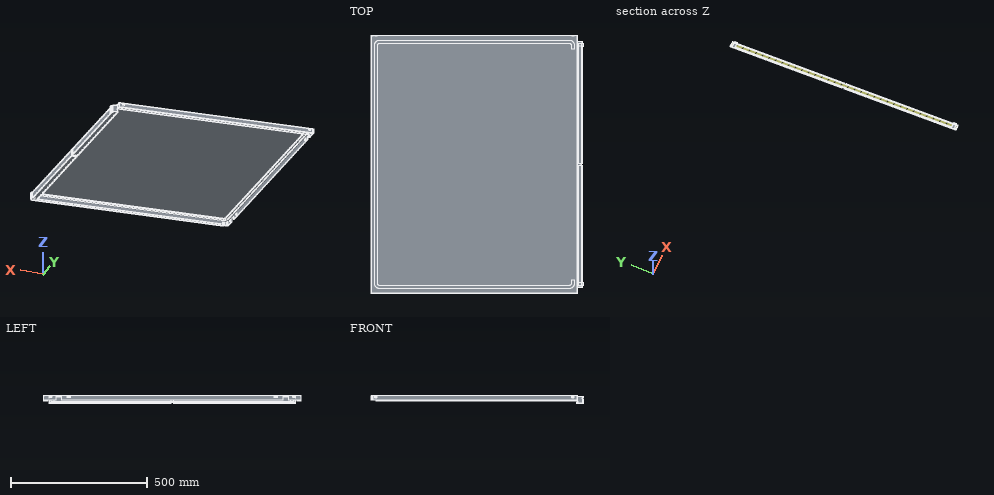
import cadquery as cq

panel_width = 757.0
panel_length = 946.0
panel_depth = 17.0
sheet = 1.4
bend_radius = 2.4

flange_bottom_z = -20.0
flange_reach = 16.0
flange_setback = 0.5
flange_start_x = 18.0

corner_slit_x = 5.0
corner_slit_width = 2.0
notch_length = 19.0
notch_end_offset = 57.0
notch_top_z = -6.0
wall_slot_length = 11.0
wall_slot_end_offset = 94.0
vent_length = 8.0
vent_end_offset = 26.5
side_vent_offset = 17.0
opening_height = 5.0
opening_z = -6.0

gasket_side_inset = 11.0
gasket_end_inset = 18.0
gasket_width = 11.0
gasket_thickness = 4.0
gasket_radius = 19.0
gasket_free_end_inset = 49.0

rail_end_inset = 22.0
rail_gap = 8.0
rail_inner_x = 753.0
rail_outer_x = 774.0
rail_top_z = -4.0
rail_base_thickness = 3.4
rail_wall = 3.0
rail_end_thickness = 8.0
ledge_end_inset = 40.0
ledge_top_z = -23.0
ledge_thickness = 3.0
tab_reach = 4.0
tab_length = 11.0
upper_tab_bottom_z = -8.5
lower_tab_top_z = -12.0

half_length = panel_length / 2
rail_end_y = half_length - rail_end_inset
cap_inner_y = rail_end_y - rail_end_thickness
ledge_end_y = half_length - ledge_end_inset
ledge_outer_x = rail_outer_x - rail_wall
ledge_bottom_z = ledge_top_z - ledge_thickness
rail_bottom_z = ledge_bottom_z - rail_base_thickness


def block(x_range, y_range, z_range):
    """Axis-aligned box between the given limits."""
    (x0, x1), (y0, y1), (z0, z1) = x_range, y_range, z_range
    return cq.Workplane("XY").box(x1 - x0, y1 - y0, z1 - z0, centered=False).translate((x0, y0, z0))


def inset_plate(side_inset, end_inset, z_range):
    """Panel-shaped plate, drawn in from the panel's sides (X) and ends (Y)."""
    x_range = (side_inset, panel_width - side_inset)
    y_range = (end_inset - half_length, half_length - end_inset)
    return block(x_range, y_range, z_range)


def centred_range(centre, length):
    """Limits of a stretch of the given length about its centre."""
    return (centre - length / 2, centre + length / 2)


def make_tray():
    """Face sheet with four walls; the bend is rounded except along the hinge side."""
    outer = inset_plate(0, 0, (-panel_depth, 0))
    outer = outer.faces(">Z").edges("not >X").fillet(bend_radius)
    inner = inset_plate(sheet, sheet, (-panel_depth, -sheet))
    inner = inner.faces(">Z").edges("not >X").fillet(bend_radius - sheet)
    return outer.cut(inner)


def cut_wall_openings(tray):
    """Notches, slots and holes in the -X wall; slits and holes in the end walls."""
    slot_z = centred_range(opening_z, opening_height)
    wall_x = (-sheet, 2 * sheet)
    for side in (-1, 1):
        notch_y = centred_range(side * (half_length - notch_end_offset), notch_length)
        slot_y = centred_range(side * (half_length - wall_slot_end_offset), wall_slot_length)
        vent_y = centred_range(side * (half_length - vent_end_offset), vent_length)
        tray = tray.cut(block(wall_x, notch_y, (-panel_depth, notch_top_z)))
        tray = tray.cut(block(wall_x, slot_y, slot_z))
        tray = tray.cut(block(wall_x, vent_y, slot_z))

        end_y = centred_range(side * half_length, 4 * sheet)
        slit_x = centred_range(corner_slit_x, corner_slit_width)
        tray = tray.cut(block(slit_x, end_y, (-panel_depth, -bend_radius)))
        for vent_x in (side_vent_offset, panel_width - side_vent_offset):
            tray = tray.cut(block(centred_range(vent_x, vent_length), end_y, slot_z))
    return tray


def make_end_flange(side):
    """Return flange under one end wall, with a foot that joins it to the wall."""
    x_range = (flange_start_x, panel_width)
    flange_outer_y = half_length - flange_setback
    wall_y = (half_length - sheet, flange_outer_y)
    foot = block(x_range, wall_y, (flange_bottom_z, -panel_depth))
    leaf_y = (half_length - flange_reach, flange_outer_y)
    leaf = block(x_range, leaf_y, (flange_bottom_z, flange_bottom_z + sheet))
    flange = foot.union(leaf)
    return flange if side > 0 else flange.mirror("XZ")


def make_hinge_ledge():
    """Ledge that turns outward from the foot of the +X wall."""
    y_range = (-ledge_end_y, ledge_end_y)
    wall_foot = block((panel_width - sheet, panel_width), y_range, (ledge_bottom_z, -panel_depth))
    ledge = block((panel_width - sheet, ledge_outer_x), y_range, (ledge_bottom_z, ledge_top_z))
    return wall_foot.union(ledge)


def make_panel():
    panel = cut_wall_openings(make_tray())
    for side in (-1, 1):
        panel = panel.union(make_end_flange(side))
    return panel.union(make_hinge_ledge())


def make_gasket():
    z_range = (-sheet - gasket_thickness, -sheet)
    inner_side_inset = gasket_side_inset + gasket_width
    inner_end_inset = gasket_end_inset + gasket_width
    outer = inset_plate(gasket_side_inset, gasket_end_inset, z_range).edges("|Z").fillet(gasket_radius)
    inner = inset_plate(inner_side_inset, inner_end_inset, z_range)
    inner = inner.edges("|Z").fillet(gasket_radius - gasket_width)
    free_end_y = half_length - gasket_free_end_inset
    hinge_side = block((panel_width - inner_side_inset, panel_width), (-free_end_y, free_end_y), z_range)
    return outer.cut(inner).cut(hinge_side)


def make_rail(side):
    """One hinge rail; side is +1 or -1 for the half of the panel it serves."""
    y_range = (rail_gap / 2, rail_end_y)
    base = block((rail_inner_x, rail_outer_x), y_range, (rail_bottom_z, ledge_bottom_z))
    outer_wall = block((ledge_outer_x, rail_outer_x), y_range, (rail_bottom_z, rail_top_z))
    lip = block((panel_width, panel_width + rail_wall), y_range, (ledge_top_z, rail_top_z))
    end_cap = block((panel_width, rail_outer_x), (cap_inner_y, rail_end_y), (rail_bottom_z, rail_top_z))
    rail = base.union(outer_wall).union(end_cap).union(lip)

    tab_x = (ledge_outer_x, rail_outer_x + tab_reach)
    tab_y = (cap_inner_y - tab_length, cap_inner_y)
    for tab_z in ((upper_tab_bottom_z, rail_top_z), (rail_bottom_z, lower_tab_top_z)):
        rail = rail.union(block(tab_x, tab_y, tab_z))
    return rail if side > 0 else rail.mirror("XZ")


panel = make_panel()
gasket = make_gasket()
rails = [make_rail(side) for side in (-1, 1)]

result = cq.Compound.makeCompound([panel.val(), gasket.val(), *[rail.val() for rail in rails]])